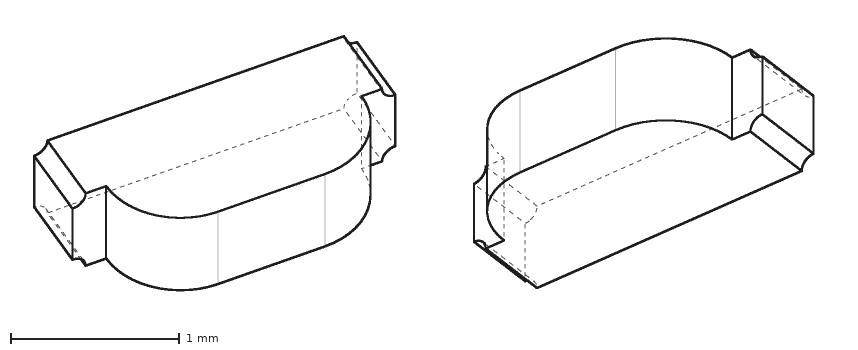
import cadquery as cq

length = 2.15
depth = 1.0
height = 0.6

body_depth = 0.505
notch_radius = 0.088
lens_length = 1.7
lens_depth = depth - body_depth


def make_body():
    """Rectangular bar, with its back face on X = 0."""
    return cq.Workplane("XY").box(body_depth, length, height, centered=(False, True, True))


def make_notches():
    """Cylinders along X, centred on the four corners of the bar's Y-Z outline."""
    return (
        cq.Workplane("YZ")
        .rect(length, height, forConstruction=True)
        .vertices()
        .circle(notch_radius)
        .extrude(body_depth)
    )


def make_lens():
    """Full-height lens on the front face, its outer corners rounded over its whole depth."""
    half_length = lens_length / 2
    half_flat = half_length - lens_depth
    return (
        cq.Workplane("XY")
        .workplane(offset=-height / 2)
        .moveTo(body_depth, -half_length)
        .radiusArc((depth, -half_flat), -lens_depth)
        .lineTo(depth, half_flat)
        .radiusArc((body_depth, half_length), -lens_depth)
        .close()
        .extrude(height)
    )


result = make_body().cut(make_notches()).union(make_lens())